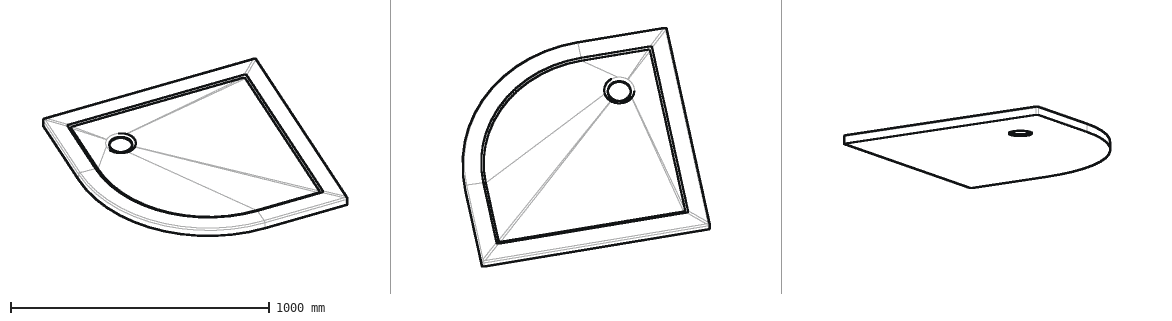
import cadquery as cq
import math

side = 899.0
height = 35.0
quadrant_radius = 548.5
corner_radius = 7.0
top_fillet = 6.0

rim_width = 72.0
rim_drop = 3.0
step_width = 10.0
step_drop = 5.0
rim_inner_z = height - rim_drop
floor_edge_z = rim_inner_z - step_drop

drain_offset = 230.0
drain_x = drain_offset - side / 2
drain_y = drain_offset - side / 2
drain_top_radius = 58.0
drain_top_z = 12.0
drain_hole_radius = 44.0
drain_hole_z = 5.0

drain_corner_half_angle = 1.0
quadrant_start_angle = 5.0
quadrant_end_angle = -95.0


def point_at(center_x, center_y, radius, angle, z):
    """Point on a horizontal circle, with the angle in degrees from +X."""
    turn = math.radians(angle)
    return cq.Vector(center_x + radius * math.cos(turn), center_y + radius * math.sin(turn), z)


def arc(center_x, center_y, radius, start, end, z):
    angles = (start, (start + end) / 2, end)
    return cq.Edge.makeThreePointArc(*[point_at(center_x, center_y, radius, a, z) for a in angles])


def tray_outline(inset, z):
    """Tray outline moved inward; the small corners keep their radius."""
    edge = side / 2 - inset
    corner = edge - corner_radius
    quadrant_center = side / 2 - quadrant_radius
    arcs = [
        arc(-corner, corner, corner_radius, 180, 90, z),
        arc(corner, corner, corner_radius, 90, 0, z),
        arc(quadrant_center, -quadrant_center, quadrant_radius - inset, 0, -90, z),
        arc(-corner, -corner, corner_radius, -90, -180, z),
    ]
    edges = []
    for current, following in zip(arcs, arcs[1:] + arcs[:1]):
        edges.append(current)
        edges.append(cq.Edge.makeLine(current.endPoint(), following.startPoint()))
    return cq.Wire.assembleEdges(edges)


def drain_outline():
    """Drain rim split into one arc for each edge of the tray outline."""
    half = drain_corner_half_angle
    angles = [
        135 + half, 135 - half,
        45 + half, 45 - half,
        quadrant_start_angle, quadrant_end_angle,
        -135 + half, -135 - half,
        -225 + half,
    ]
    edges = [
        arc(drain_x, drain_y, drain_top_radius, start, end, drain_top_z)
        for start, end in zip(angles, angles[1:])
    ]
    return cq.Wire.assembleEdges(edges)


def ruled_solid(upper, lower):
    return cq.Solid.makeLoft([upper, lower], True)


slab = cq.Solid.extrudeLinear(tray_outline(0, 0), [], cq.Vector(0, 0, height))
body = cq.Workplane(obj=slab).faces(">Z").edges().fillet(top_fillet)

rim_start = tray_outline(top_fillet, height)
rim_end = tray_outline(rim_width, rim_inner_z)
floor_edge = tray_outline(rim_width + step_width, floor_edge_z)
body = body.cut(cq.Workplane(obj=ruled_solid(rim_start, rim_end)))
body = body.cut(cq.Workplane(obj=ruled_solid(rim_end, floor_edge)))
body = body.cut(cq.Workplane(obj=ruled_solid(floor_edge, drain_outline())))

seat = cq.Solid.makeCone(
    drain_hole_radius,
    drain_top_radius,
    drain_top_z - drain_hole_z,
    cq.Vector(drain_x, drain_y, drain_hole_z),
)
hole = cq.Solid.makeCylinder(drain_hole_radius, height, cq.Vector(drain_x, drain_y, 0))
result = body.cut(cq.Workplane(obj=seat)).cut(cq.Workplane(obj=hole))